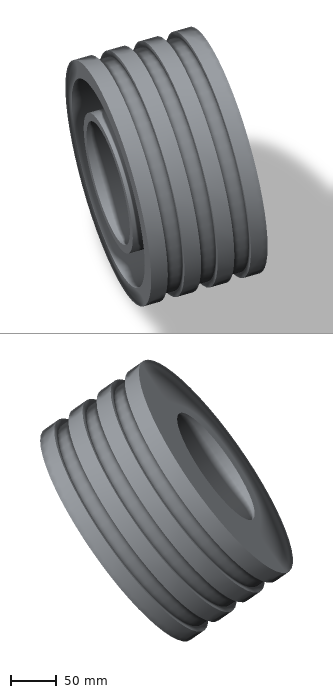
import cadquery as cq

OUTER_DIAMETER = 280
GROOVE_DIAMETER = 266
RIM_INNER_DIAMETER = 238
HUB_DIAMETER = 160
BORE_DIAMETER = 141
WIDTH = 135

GROOVE_COUNT = 3
BAND_WIDTH = WIDTH / (2 * GROOVE_COUNT + 1)

WEB_THICKNESS = 7
RECESS_DEPTH = WIDTH - WEB_THICKNESS

FRONT_Y = -WIDTH / 2


def ring(outer_diameter, inner_diameter, start_y, length):
    """Ring about the Y axis, running from start_y toward +Y."""
    return (
        cq.Workplane("XZ", origin=(0, start_y, 0))
        .circle(outer_diameter / 2)
        .circle(inner_diameter / 2)
        .extrude(-length)
    )


def cut_grooves(body):
    """Cut the square grooves around the outside."""
    for index in range(GROOVE_COUNT):
        groove_y = FRONT_Y + (2 * index + 1) * BAND_WIDTH
        body = body.cut(ring(OUTER_DIAMETER, GROOVE_DIAMETER, groove_y, BAND_WIDTH))
    return body


def cut_recess(body):
    """Cut the annular recess that leaves the hub joined to the rim by a web."""
    return body.cut(ring(RIM_INNER_DIAMETER, HUB_DIAMETER, FRONT_Y, RECESS_DEPTH))


blank = ring(OUTER_DIAMETER, BORE_DIAMETER, FRONT_Y, WIDTH)
result = cut_recess(cut_grooves(blank))